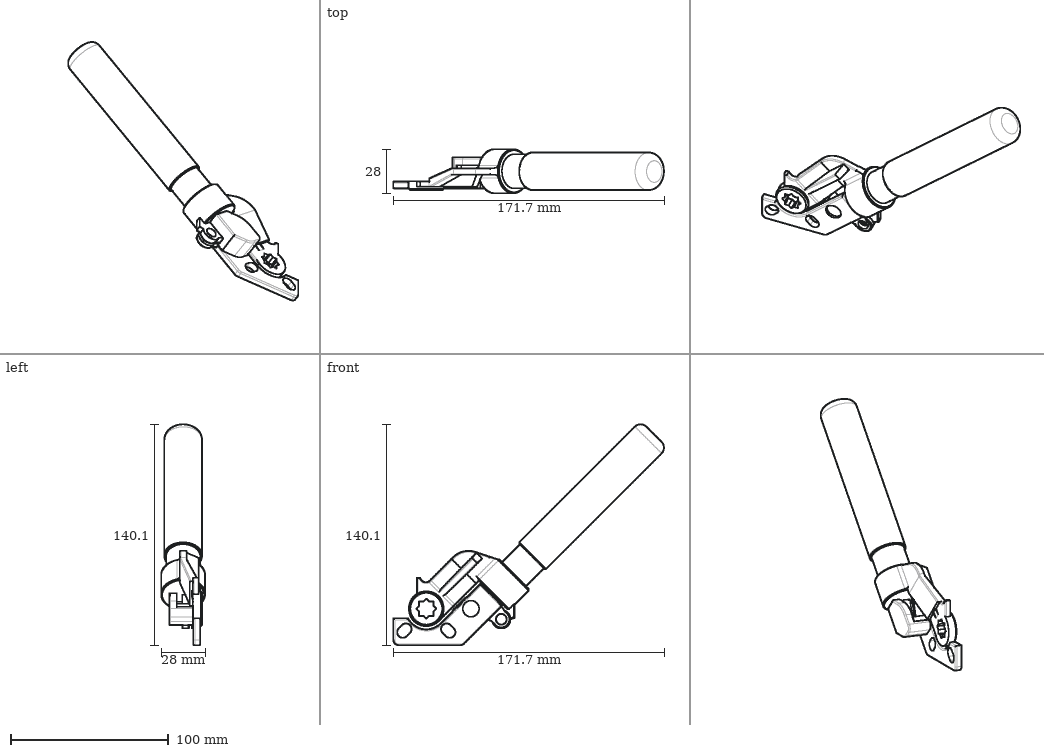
import cadquery as cq
import math


TILT = 45
SIN45 = math.sin(math.radians(TILT))

AXIS_ACROSS = -23.9
HANDLE_RADIUS = 12.0
HANDLE_START, HANDLE_END = 70.9, 180.3
HANDLE_END_FILLET = 5.2
HANDLE_START_CHAMFER = 0.5
NECK_RADIUS = 10.8
COLLAR_RADIUS = 28.0 / 2
COLLAR_START, COLLAR_END = 36.2, 54.8
COLLAR_CHAMFER = 0.7

HUB_RADIUS = 22.1 / 2
HUB_FRONT, HUB_BACK = -12.2, -6.2
HUB_CHAMFER = 1.0
STAR_SQUARE = 9.0

PLATE_FRONT, PLATE_BACK = -11.0, -6.4
PLATE_LEFT, PLATE_TOP, PLATE_BOTTOM = -21.0, -6.0, -23.2
HUB_CLEARANCE_RADIUS = 13.0
PLATE_END, PLATE_LOWER_ACROSS = 35.4, -32.6
PLATE_CORNER_FILLET = 3.5
PLATE_EDGE_FILLET = 0.9
SLOT_OFFSET = 13.9
SLOT_LENGTH, SLOT_WIDTH = 9.8, 7.0
RECESS_X, RECESS_RADIUS, RECESS_DEPTH = 28.3, 5.2, 1.7

BRACKET_LOW_FRONT, BRACKET_LOW_BACK = -10.0, -6.2
BRACKET_HIGH_FRONT, BRACKET_HIGH_BACK = -2.2, 2.0
ARM_BACK = -4.3
FRONT_SLOPE_START, BACK_SLOPE_START, SLOPE_END = 13.9, 13.5, 33.7
CROWN_X, CROWN_RADIUS = 26.8, 13.7
CROWN_Z = CROWN_X + (HUB_RADIUS - CROWN_RADIUS) / SIN45
CROWN_START_ANGLE = 90 + TILT
CROWN_END_ANGLE = 72
BRACKET_EDGE_FILLET = 0.7
FRONT_BEND_RADIUS = 4.8
COLLAR_BLEND = 2.5
SHOULDER_X, SHOULDER_Z = 46.9, 30.7
HORN_LEFT, HORN_RIGHT, HORN_TOP = -6.0, -4.0, 19.7
HORN_ARC_MIDDLE = (-1.4, 17.0)
HORN_ROOT_X = 1.7

RIB_BASE_HALF, RIB_TOP_HALF = 2.5, 2.2
RIB_FILLET = 0.7
RIB_START, RIB_FLAT_END, RIB_END = 9.5, 43.3, 47.5

FORK_BACK = 9.0
CHEEK_FRONT = 4.0
FORK_TOP, FORK_BOTTOM = 10.0, -10.5
END_WALL_START, END_WALL_END = 14.3, 18.0
END_WALL_ACROSS = -13.4
FORK_FLOOR_ACROSS = -29.9
FORK_EDGE_FILLET = 0.9
NOSE_TOP, NOSE_FRONT, NOSE_BOTTOM = (17.9, 0.2), (16.5, -2.5), (17.9, -5.2)
HEEL_START, HEEL_MIDDLE, HEEL_END = (20.6, -7.9), (23.3, -9.8), (26.8, FORK_BOTTOM)
CHEEK_ARC_START, CHEEK_ARC_MIDDLE, CHEEK_ARC_END = (33.5, FORK_TOP), (27.6, 8.5), (22.8, 5.2)

EYE_X, EYE_Z = 47.5, -6.7
EYE_RADIUS, EYE_HOLE_RADIUS = 5.8, 6.7 / 2
FRONT_LEAF_FRONT, FRONT_LEAF_BACK = -8.5, -5.3
REAR_LEAF_FRONT, REAR_LEAF_BACK = -4.0, 0.5
EYE_CHAMFER = 0.7
EYE_NECK_START = (36.9, -7.4)
EYE_NECK_ARC = (39.5, -7.4), (41.5, -8.0), (42.8, -9.6)
EYE_WEB_RIGHT, EYE_WEB_BOTTOM, EYE_WEB_TOP = 56.1, -5.8, 5.2


def profile_plane(back):
    """Work plane parallel to XZ whose extrusions run forward (-Y) from `back`."""
    return cq.Workplane("XZ", origin=(0, back, 0))


def tilted(body):
    """Swing a body from along/across directions to X/Z."""
    return body.rotate((0, 0, 0), (0, 1, 0), -TILT)


def to_xz(along, across):
    """X and Z of a point given along and across the handle direction."""
    return ((along - across) * SIN45, (along + across) * SIN45)


def on_circle(x, z, radius, degrees):
    angle = math.radians(degrees)
    return (x + radius * math.cos(angle), z + radius * math.sin(angle))


def rod(radius, start, end):
    """Cylinder on the handle axis, before tilting."""
    return cq.Workplane("YZ", origin=(start, 0, AXIS_ACROSS)).circle(radius).extrude(end - start)


def make_handle():
    grip = rod(HANDLE_RADIUS, HANDLE_START, HANDLE_END)
    grip = grip.faces(">X").edges().fillet(HANDLE_END_FILLET)
    grip = grip.faces("<X").edges().chamfer(HANDLE_START_CHAMFER)
    neck = rod(NECK_RADIUS, COLLAR_START, HANDLE_START)
    return tilted(grip.union(neck))


def make_collar():
    collar = rod(COLLAR_RADIUS, COLLAR_START, COLLAR_END)
    return tilted(collar.faces("<X or >X").edges().chamfer(COLLAR_CHAMFER))


def make_hub():
    hub = profile_plane(HUB_BACK).circle(HUB_RADIUS).extrude(HUB_BACK - HUB_FRONT)
    return hub.faces("<Y").edges().chamfer(HUB_CHAMFER)


def make_star_cutter():
    depth = HUB_BACK - HUB_FRONT
    square = profile_plane(HUB_BACK).rect(STAR_SQUARE, STAR_SQUARE).extrude(depth)
    return square.union(tilted(square))


def make_plate():
    r = HUB_CLEARANCE_RADIUS
    arc_start = (-math.sqrt(r**2 - PLATE_TOP**2), PLATE_TOP)
    lower_right = (PLATE_BOTTOM - PLATE_LOWER_ACROSS / SIN45, PLATE_BOTTOM)
    plate = (
        profile_plane(PLATE_BACK)
        .moveTo(*arc_start)
        .threePointArc((0, -r), on_circle(0, 0, r, -TILT))
        .lineTo(*to_xz(PLATE_END, -r))
        .lineTo(*to_xz(PLATE_END, PLATE_LOWER_ACROSS))
        .lineTo(*lower_right)
        .lineTo(PLATE_LEFT, PLATE_BOTTOM)
        .lineTo(PLATE_LEFT, PLATE_TOP)
        .close()
        .extrude(PLATE_BACK - PLATE_FRONT)
    )
    middle = (PLATE_FRONT + PLATE_BACK) / 2
    for x, z in (lower_right, (PLATE_LEFT, PLATE_BOTTOM)):
        corner = cq.selectors.NearestToPointSelector((x, middle, z))
        plate = plate.edges(corner).fillet(PLATE_CORNER_FILLET)
    plate = plate.faces("<Y or >Y").edges().fillet(PLATE_EDGE_FILLET)
    for side in (-1, 1):
        slot = (
            profile_plane(PLATE_BACK)
            .center(side * SLOT_OFFSET, -SLOT_OFFSET)
            .slot2D(SLOT_LENGTH, SLOT_WIDTH, -side * TILT)
            .extrude(PLATE_BACK - PLATE_FRONT)
        )
        plate = plate.cut(slot)
    recess = (
        profile_plane(PLATE_FRONT + RECESS_DEPTH)
        .center(RECESS_X, 0)
        .circle(RECESS_RADIUS)
        .extrude(RECESS_DEPTH)
    )
    return plate.cut(recess)


def make_bracket_outline(front, back):
    """Arm as wide as the hub, with a horn, a rounded crown and a shoulder at the collar."""
    horn_root = (HORN_ROOT_X, HORN_ROOT_X + HUB_RADIUS / SIN45)
    return (
        profile_plane(back)
        .moveTo(HORN_LEFT, 0)
        .lineTo(HORN_LEFT, HORN_TOP)
        .lineTo(HORN_RIGHT, HORN_TOP)
        .threePointArc(HORN_ARC_MIDDLE, horn_root)
        .lineTo(*on_circle(CROWN_X, CROWN_Z, CROWN_RADIUS, CROWN_START_ANGLE))
        .threePointArc(
            (CROWN_X, CROWN_Z + CROWN_RADIUS),
            on_circle(CROWN_X, CROWN_Z, CROWN_RADIUS, CROWN_END_ANGLE),
        )
        .lineTo(SHOULDER_X, SHOULDER_Z)
        .lineTo(*to_xz(COLLAR_END, AXIS_ACROSS))
        .lineTo(*to_xz(COLLAR_START, AXIS_ACROSS))
        .lineTo(*to_xz(COLLAR_START, -HUB_RADIUS))
        .lineTo(*to_xz(0, -HUB_RADIUS))
        .close()
        .extrude(back - front)
    )


def make_bracket():
    reach = 2 * COLLAR_RADIUS + HUB_RADIUS
    bend = (
        cq.Workplane("XY", origin=(0, 0, -reach))
        .moveTo(-reach, BRACKET_LOW_FRONT)
        .lineTo(FRONT_SLOPE_START, BRACKET_LOW_FRONT)
        .lineTo(SLOPE_END, BRACKET_HIGH_FRONT)
        .lineTo(COLLAR_END, BRACKET_HIGH_FRONT)
        .lineTo(COLLAR_END, BRACKET_HIGH_BACK)
        .lineTo(SLOPE_END, BRACKET_HIGH_BACK)
        .lineTo(BACK_SLOPE_START, ARM_BACK)
        .lineTo(BACK_SLOPE_START, BRACKET_LOW_BACK)
        .lineTo(-reach, BRACKET_LOW_BACK)
        .close()
        .extrude(2 * reach)
    )
    front_bend = cq.selectors.NearestToPointSelector((FRONT_SLOPE_START, BRACKET_LOW_FRONT, 0))
    bend = bend.edges(front_bend).fillet(FRONT_BEND_RADIUS)
    bracket = make_bracket_outline(BRACKET_LOW_FRONT, BRACKET_HIGH_BACK).intersect(tilted(bend))
    rim = bracket.edges("not (|Y or |(1, 0, -1))")
    return rim.fillet(BRACKET_EDGE_FILLET).union(make_rib())


def make_collar_blend(face, outward):
    """Concave fillet along the collar where one bracket face runs into it."""
    reach = COLLAR_RADIUS + COLLAR_BLEND
    centre_y = face + outward * COLLAR_BLEND
    rise = math.sqrt(reach**2 - centre_y**2)
    centre_across = AXIS_ACROSS + rise
    collar_share = COLLAR_RADIUS / reach
    touch = (centre_y * collar_share, AXIS_ACROSS + rise * collar_share)
    blend = (
        cq.Workplane("YZ", origin=(COLLAR_START + COLLAR_CHAMFER, 0, 0))
        .moveTo(face, COLLAR_BLEND + centre_across)
        .lineTo(face, centre_across)
        .tangentArcPoint(touch, relative=False)
        .lineTo(0, AXIS_ACROSS)
        .lineTo(0, COLLAR_BLEND + centre_across)
        .close()
        .extrude(COLLAR_END - COLLAR_START - 2 * COLLAR_CHAMFER)
    )
    trim = make_bracket_outline(-COLLAR_RADIUS, COLLAR_RADIUS)
    return tilted(blend).intersect(trim)


def make_rib():
    """Tapered rib with a level front that drops to the high bracket face at its end."""
    side = (
        cq.Workplane("XY", origin=(0, 0, -RIB_BASE_HALF))
        .moveTo(RIB_START, BRACKET_LOW_FRONT)
        .lineTo(RIB_FLAT_END, BRACKET_LOW_FRONT)
        .lineTo(RIB_END, BRACKET_HIGH_FRONT)
        .lineTo(SLOPE_END, BRACKET_HIGH_FRONT)
        .lineTo(RIB_START, BRACKET_LOW_BACK)
        .close()
        .extrude(2 * RIB_BASE_HALF)
    )
    section = (
        cq.Workplane("YZ")
        .polyline([
            (BRACKET_HIGH_FRONT, -RIB_BASE_HALF),
            (BRACKET_HIGH_FRONT, RIB_BASE_HALF),
            (BRACKET_LOW_FRONT, RIB_TOP_HALF),
            (BRACKET_LOW_FRONT, -RIB_TOP_HALF),
        ])
        .close()
        .extrude(RIB_END)
    )
    rib = tilted(side.intersect(section))
    return rib.faces("<Y").edges("|(1, 0, 1)").fillet(RIB_FILLET)


def make_fork():
    """Block with a rounded nose, hollowed out to leave an end wall, a floor and a rear cheek."""
    body = (
        profile_plane(FORK_BACK)
        .moveTo(*NOSE_TOP)
        .threePointArc(NOSE_FRONT, NOSE_BOTTOM)
        .lineTo(*HEEL_START)
        .threePointArc(HEEL_MIDDLE, HEEL_END)
        .lineTo(FORK_BOTTOM - PLATE_LOWER_ACROSS / SIN45, FORK_BOTTOM)
        .lineTo(*to_xz(COLLAR_START, PLATE_LOWER_ACROSS))
        .lineTo(COLLAR_START / SIN45 - FORK_TOP, FORK_TOP)
        .lineTo(*CHEEK_ARC_START)
        .threePointArc(CHEEK_ARC_MIDDLE, CHEEK_ARC_END)
        .close()
        .extrude(FORK_BACK - PLATE_BACK)
    )
    body = body.faces(">Y").edges().fillet(FORK_EDGE_FILLET)
    for start, floor in ((END_WALL_START, END_WALL_ACROSS), (END_WALL_END, FORK_FLOOR_ACROSS)):
        size = (COLLAR_START - start, CHEEK_FRONT - PLATE_BACK, -floor)
        pocket = cq.Workplane("XY", origin=(start, PLATE_BACK, floor)).box(*size, centered=False)
        body = body.cut(tilted(pocket))
    return body


def make_eyelet_leaf(front, back):
    """Ring with a concave neck that runs back behind the plate."""
    arc_start, arc_middle, arc_end = EYE_NECK_ARC
    depth = back - front
    neck = (
        profile_plane(back)
        .moveTo(*EYE_NECK_START)
        .lineTo(*arc_start)
        .threePointArc(arc_middle, arc_end)
        .lineTo(EYE_X, EYE_Z)
        .lineTo(EYE_X + EYE_RADIUS, EYE_Z)
        .lineTo(*to_xz(COLLAR_START, AXIS_ACROSS))
        .close()
        .extrude(depth)
    )
    ring = profile_plane(back).center(EYE_X, EYE_Z).circle(EYE_RADIUS).extrude(depth)
    return neck.union(ring.faces("<Y").edges().chamfer(EYE_CHAMFER))


def make_eyelet():
    """Two leaves below the collar with one hole through both."""
    web = (
        profile_plane(REAR_LEAF_BACK)
        .moveTo(*to_xz(COLLAR_START, AXIS_ACROSS))
        .lineTo(EYE_X, EYE_Z)
        .lineTo(EYE_X + EYE_RADIUS, EYE_Z)
        .lineTo(EYE_WEB_RIGHT, EYE_WEB_BOTTOM)
        .lineTo(EYE_WEB_RIGHT, EYE_WEB_TOP)
        .close()
        .extrude(REAR_LEAF_BACK - REAR_LEAF_FRONT)
    )
    eyelet = web.faces("<Y").edges().chamfer(EYE_CHAMFER)
    for front, back in (
        (REAR_LEAF_FRONT, REAR_LEAF_BACK),
        (FRONT_LEAF_FRONT, FRONT_LEAF_BACK),
    ):
        eyelet = eyelet.union(make_eyelet_leaf(front, back))
    hole = (
        profile_plane(REAR_LEAF_BACK)
        .center(EYE_X, EYE_Z)
        .circle(EYE_HOLE_RADIUS)
        .extrude(REAR_LEAF_BACK - FRONT_LEAF_FRONT)
    )
    return eyelet.cut(hole)


result = make_bracket().union(make_hub()).cut(make_star_cutter())
front_blend = make_collar_blend(BRACKET_HIGH_FRONT, -1)
back_blend = make_collar_blend(BRACKET_HIGH_BACK, 1)
result = result.union(make_collar()).union(front_blend).union(back_blend)
for body in (make_plate(), make_fork(), make_eyelet(), make_handle()):
    result = result.union(body)